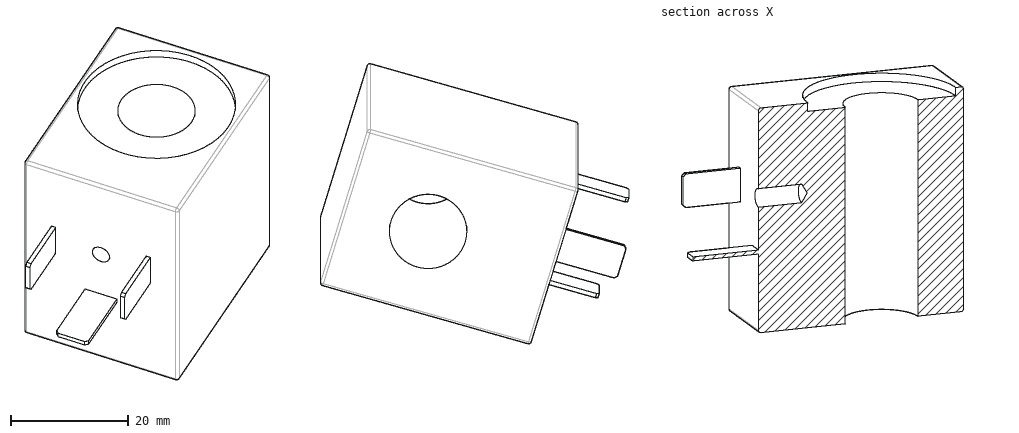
import cadquery as cq
import math

body_width = 29.0
body_height = 40.0
overall_depth = 49.5
ground_blade_length = 12.0
body_depth = overall_depth - ground_blade_length
edge_radius = 0.5

bore_diameter = 13.2
recess_diameter = 27.0
recess_depth = 1.5
bore_y = 22.5

screw_hole_diameter = 3.2
screw_hole_depth = 7.9
drill_point_angle = 118.0
screw_hole_z = 4.0

blade_width = 6.0
blade_thickness = 0.8
blade_corner = 0.5
contact_blade_length = 10.5
contact_blade_x = 8.9
ground_blade_z = -5.6


def make_body():
    """Rectangular block with all edges rounded."""
    block = cq.Workplane("XY").box(body_width, body_depth, body_height)
    return block.edges().fillet(edge_radius).translate((0, body_depth / 2, 0))


def make_bore():
    """Through bore and top recess as one cutting solid."""
    top = cq.Workplane("XY").workplane(offset=body_height / 2).center(0, bore_y)
    bore = top.circle(bore_diameter / 2).extrude(-body_height)
    recess = top.circle(recess_diameter / 2).extrude(-recess_depth)
    return bore.union(recess)


def make_screw_hole():
    """Blind hole with a drill point, revolved about its own axis."""
    radius = screw_hole_diameter / 2
    point_length = radius / math.tan(math.radians(drill_point_angle / 2))
    profile = (
        cq.Workplane("XY")
        .moveTo(0, 0)
        .lineTo(radius, 0)
        .lineTo(radius, screw_hole_depth)
        .lineTo(0, screw_hole_depth + point_length)
        .close()
    )
    return profile.revolve(360, (0, 0, 0), (0, 1, 0)).translate((0, 0, screw_hole_z))


def make_blade(length):
    """Flat horizontal blade reaching forward from y = 0, with its tip corners cut."""
    blade = cq.Workplane("XY").box(blade_width, length, blade_thickness)
    blade = blade.faces("<Y").edges("|Z").chamfer(blade_corner)
    return blade.translate((0, -length / 2, 0))


result = make_body().cut(make_bore()).cut(make_screw_hole())
ground_blade = make_blade(ground_blade_length)
result = result.union(ground_blade.translate((0, 0, ground_blade_z)))

upright_blade = make_blade(contact_blade_length).rotate((0, 0, 0), (0, 1, 0), 90)
for side in (-1, 1):
    result = result.union(upright_blade.translate((side * contact_blade_x, 0, screw_hole_z)))